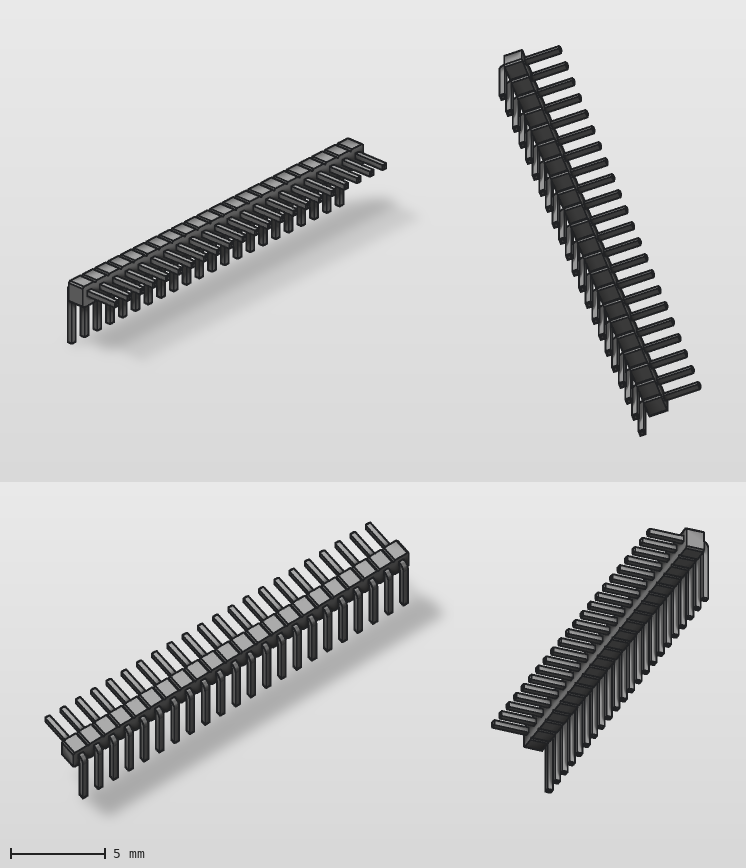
import cadquery as cq


row_length = 22.0
pin_count = 22
pin_reach = 3.4
total_height = 3.94
strip_height = 1.25
pin_width = 0.3
pin_drop = 0.35
strip_start = 0.4
bend_radius = 0.45
strip_chamfer = 0.1
tip_chamfer = 0.07

pitch = row_length / pin_count
strip_width = pitch
pin_top = total_height - pin_drop
inner_radius = bend_radius - pin_width
bend_start = pin_top - bend_radius


def make_cell():
    """One strip cell; its chamfers form V notches with the neighbouring cells."""
    return (
        cq.Workplane("XY")
        .box(strip_width, pitch, strip_height, centered=(False, True, False))
        .edges("|X")
        .chamfer(strip_chamfer)
        .translate((strip_start, 0, total_height - strip_height))
    )


def make_pin():
    """One bent square pin with both tips chamfered all round."""
    bend_center = (bend_radius, bend_start)
    diagonal = 0.5 ** 0.5

    def bend_middle(radius):
        return (bend_center[0] - radius * diagonal, bend_center[1] + radius * diagonal)

    return (
        cq.Workplane("XZ")
        .moveTo(0, 0)
        .lineTo(0, bend_start)
        .threePointArc(bend_middle(bend_radius), (bend_radius, pin_top))
        .lineTo(pin_reach, pin_top)
        .lineTo(pin_reach, pin_top - pin_width)
        .lineTo(bend_radius, pin_top - pin_width)
        .threePointArc(bend_middle(inner_radius), (pin_width, bend_start))
        .lineTo(pin_width, 0)
        .close()
        .extrude(pin_width / 2, both=True)
        .faces("<Z or >X")
        .edges()
        .chamfer(tip_chamfer)
    )


unit = make_cell().union(make_pin())
first_y = (pitch - row_length) / 2
row = unit.translate((0, first_y, 0))
for index in range(1, pin_count):
    row = row.union(unit.translate((0, first_y + index * pitch, 0)))

result = row